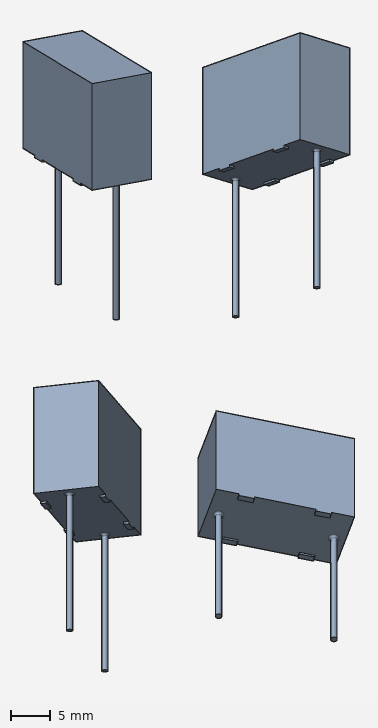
import cadquery as cq
import math

body_length = 18.0
body_width = 8.5
body_height = 14.2
total_height = 32.5

lead_diameter = 0.8
lead_pitch = 15.0
lead_length = total_height - body_height

foot_length = 2.0
foot_width = 0.75
foot_height = 0.3
foot_pitch = 10.0

flare_radius = foot_height


def make_body():
    """Plain rectangular case with its underside on Z = 0."""
    return cq.Workplane("XY").box(body_length, body_width, body_height, centered=(True, True, False))


def make_feet():
    """Four feet below the case, flush with its long side faces."""
    return (
        cq.Workplane("XY")
        .rarray(foot_pitch, body_width - foot_width, 2, 2)
        .rect(foot_length, foot_width)
        .extrude(-foot_height)
    )


def make_lead(x):
    """Wire lead with its flare, revolved about a vertical axis at the given X."""
    lead_radius = lead_diameter / 2
    arc_inset = flare_radius * (1 - math.sqrt(0.5))
    profile = (
        cq.Workplane("XZ")
        .moveTo(0, 0)
        .lineTo(lead_radius + flare_radius, 0)
        .threePointArc((lead_radius + arc_inset, -arc_inset), (lead_radius, -flare_radius))
        .lineTo(lead_radius, -lead_length)
        .lineTo(0, -lead_length)
        .close()
    )
    return profile.revolve(360, (0, 0, 0), (0, 1, 0)).translate((x, 0, 0))


result = make_body().union(make_feet())
for lead_x in (-lead_pitch / 2, lead_pitch / 2):
    result = result.union(make_lead(lead_x))